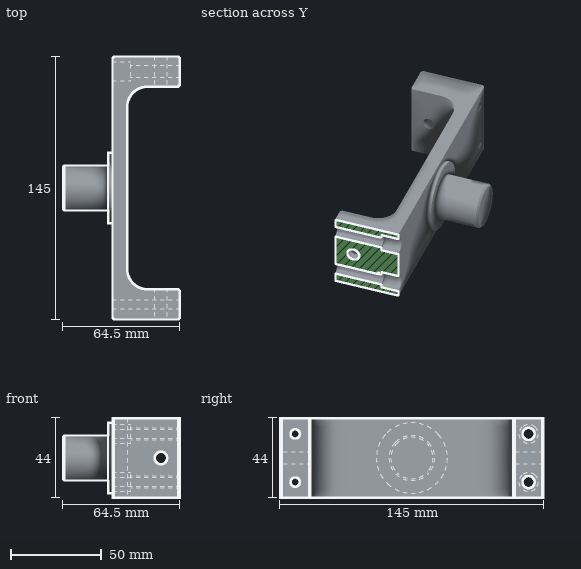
import cadquery as cq

body_depth = 37.2
body_length = 145.0
body_height = 44.0
web_thickness = 8.2
arm_width = 16.8
inner_radius = 11.0
edge_chamfer = 1.0

collar_diameter = 39.0
collar_thickness = 2.3
pin_diameter = 25.0
pin_length = 25.0
pin_chamfer = 1.0

mount_hole_offset = 64.25
mount_hole_spacing = 26.5
bolt_diameter = 6.6
counterbore_diameter = 10.5
counterbore_depth = 10.0
plain_hole_diameter = 5.0

cross_hole_diameter = 6.8
cross_hole_end_distance = 10.5


def x_cylinder(diameter, start, length, y=0, z=0):
    """Cylinder running along +X from the given start point."""
    return (
        cq.Workplane("YZ", origin=(start, y, z))
        .circle(diameter / 2)
        .extrude(length)
    )


def make_body():
    """C-shaped body with its back face on X = 0, centred on Y and Z."""
    block = cq.Workplane("XY").box(
        body_depth, body_length, body_height, centered=(False, True, True)
    )
    opening = (
        cq.Workplane("XY", origin=(web_thickness, 0, 0))
        .box(
            body_depth,
            body_length - 2 * arm_width,
            body_height,
            centered=(False, True, True),
        )
        .edges("|Z and <X")
        .fillet(inner_radius)
    )
    outer_edges = "|Z and (<X or >X)"
    return block.cut(opening).edges(outer_edges).chamfer(edge_chamfer)


def make_pin():
    """Collar and chamfered pin projecting towards -X."""
    collar = x_cylinder(collar_diameter, -collar_thickness, collar_thickness)
    pin = x_cylinder(pin_diameter, -collar_thickness - pin_length, pin_length)
    return collar.union(pin.faces("<X").chamfer(pin_chamfer))


def cut_mount_holes(part):
    """Counterbored holes in the +Y arm and plain holes in the -Y arm."""
    for z in (-mount_hole_spacing / 2, mount_hole_spacing / 2):
        y = mount_hole_offset
        part = part.cut(x_cylinder(bolt_diameter, 0, body_depth, y, z))
        part = part.cut(x_cylinder(counterbore_diameter, 0, counterbore_depth, y, z))
        part = part.cut(x_cylinder(plain_hole_diameter, 0, body_depth, -y, z))
    return part


def cut_cross_hole(part):
    """Hole along Y through both arms, near their free ends."""
    hole_x = body_depth - cross_hole_end_distance
    hole = (
        cq.Workplane("XZ", origin=(hole_x, 0, 0))
        .circle(cross_hole_diameter / 2)
        .extrude(body_length, both=True)
    )
    return part.cut(hole)


result = cut_cross_hole(cut_mount_holes(make_body().union(make_pin())))